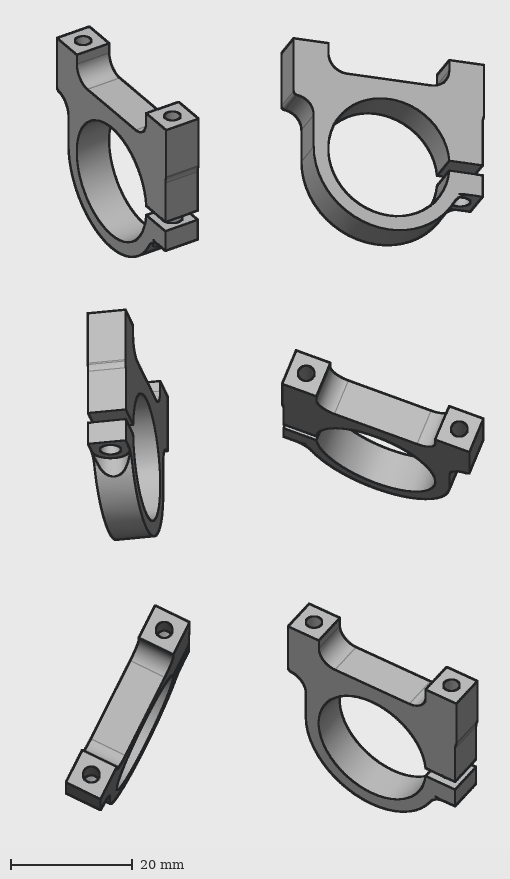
import cadquery as cq
import math

overall_width = 33.02
thickness = 6.35
bore_radius = 10.5
ring_wall = 2.54
mount_height = 19.05
saddle_height = 14.02
ear_width = 6.05
left_shoulder_base = 5.715
right_shoulder_base = 8.53
fillet_radius = 3.175
ear_corner_radius = 0.635
jaw_edge = 16.256
slot_gap = 1.778
lug_bottom = -4.7625
ear_hole_diameter = 2.7
ear_hole_depth = 7.62
drill_point_angle = 118
bolt_hole_diameter = 3.5

ring_radius = bore_radius + ring_wall
half_width = overall_width / 2
ear_inner = half_width - ear_width
ear_center = half_width - ear_width / 2
spotface_diameter = thickness
bolt_x = (bore_radius + jaw_edge) / 2


def on_arc(center, radius, degrees):
    """Point at the given angle on an arc."""
    angle = math.radians(degrees)
    return (center[0] + radius * math.cos(angle), center[1] + radius * math.sin(angle))


def ear_shoulder(wall, base):
    """Points of the curve under an ear (left-hand side), from the ear's outer face to X = -wall, Z = base.

    A concave fillet on the wall runs tangentially into a small rounded corner on the ear.
    """
    fillet_center = (-wall - fillet_radius, base)
    corner_x = -half_width + ear_corner_radius
    center_distance = fillet_radius + ear_corner_radius
    lean = math.degrees(math.acos((corner_x - fillet_center[0]) / center_distance))
    corner_z = fillet_center[1] + center_distance * math.sin(math.radians(lean))
    corner_center = (corner_x, corner_z)
    return {
        "corner_start": (-half_width, corner_z),
        "corner_mid": on_arc(corner_center, ear_corner_radius, 180 + lean / 2),
        "join": on_arc(fillet_center, fillet_radius, lean),
        "fillet_mid": on_arc(fillet_center, fillet_radius, lean / 2),
        "fillet_end": (-wall, base),
    }


def mirrored(point):
    return (-point[0], point[1])


def clamp_body():
    left = ear_shoulder(ring_radius, left_shoulder_base)
    right_shoulder = ear_shoulder(jaw_edge, right_shoulder_base)
    right = {name: mirrored(point) for name, point in right_shoulder.items()}

    saddle_fillet_center = (ear_inner - fillet_radius, saddle_height + fillet_radius)
    saddle_mid = on_arc(saddle_fillet_center, fillet_radius, -45)

    lug_fillet_z = lug_bottom - fillet_radius
    lug_center_distance = ring_radius + fillet_radius
    lug_angle = math.degrees(math.asin(lug_fillet_z / lug_center_distance))
    lug_fillet_center = on_arc((0, 0), lug_center_distance, lug_angle)
    lug_fillet_mid = on_arc(lug_fillet_center, fillet_radius, (90 + 180 + lug_angle) / 2)
    ring_join = on_arc((0, 0), ring_radius, lug_angle)
    ring_mid = on_arc((0, 0), ring_radius, (lug_angle - 180) / 2)

    return (
        cq.Workplane("XZ")
        .moveTo(-half_width, mount_height)
        .lineTo(*left["corner_start"])
        .threePointArc(left["corner_mid"], left["join"])
        .threePointArc(left["fillet_mid"], left["fillet_end"])
        .lineTo(-ring_radius, 0)
        .threePointArc(ring_mid, ring_join)
        .threePointArc(lug_fillet_mid, (lug_fillet_center[0], lug_bottom))
        .lineTo(jaw_edge, lug_bottom)
        .lineTo(*right["fillet_end"])
        .threePointArc(right["fillet_mid"], right["join"])
        .threePointArc(right["corner_mid"], right["corner_start"])
        .lineTo(half_width, mount_height)
        .lineTo(ear_inner, mount_height)
        .lineTo(ear_inner, saddle_fillet_center[1])
        .threePointArc(saddle_mid, (saddle_fillet_center[0], saddle_height))
        .lineTo(-saddle_fillet_center[0], saddle_height)
        .threePointArc(mirrored(saddle_mid), (-ear_inner, saddle_fillet_center[1]))
        .lineTo(-ear_inner, mount_height)
        .close()
        .extrude(thickness / 2, both=True)
    )


def bore():
    return cq.Workplane("XZ").circle(bore_radius).extrude(thickness / 2, both=True)


def clamp_slot():
    """Gap that splits the ring on the +X side."""
    return cq.Workplane("XY").box(half_width, thickness, slot_gap, centered=(False, True, True))


def ear_hole(x):
    """Blind hole with a conical drill point, sunk from the top of an ear."""
    radius = ear_hole_diameter / 2
    point_length = radius / math.tan(math.radians(drill_point_angle / 2))
    floor = mount_height - ear_hole_depth
    return (
        cq.Workplane("XZ")
        .moveTo(0, mount_height)
        .lineTo(radius, mount_height)
        .lineTo(radius, floor)
        .lineTo(0, floor - point_length)
        .close()
        .revolve(360, (0, 0), (0, 1))
        .translate((x, 0, 0))
    )


def hole_down(diameter, start_height):
    """Cylinder on the clamping bolt axis, from start_height down past the bottom of the ring."""
    return (
        cq.Workplane("XY")
        .workplane(offset=start_height)
        .center(bolt_x, 0)
        .circle(diameter / 2)
        .extrude(-ring_radius)
    )


def bolt_cut():
    """Bolt hole through the lower lug, with a bolt-head spotface level with the lug's underside.

    The spotface is as wide as the part and trims the lug fillet and the ring wall beside it.
    """
    return hole_down(bolt_hole_diameter, 0).union(hole_down(spotface_diameter, lug_bottom))


result = clamp_body().cut(bore()).cut(clamp_slot()).cut(bolt_cut())
for side in (-1, 1):
    result = result.cut(ear_hole(side * ear_center))